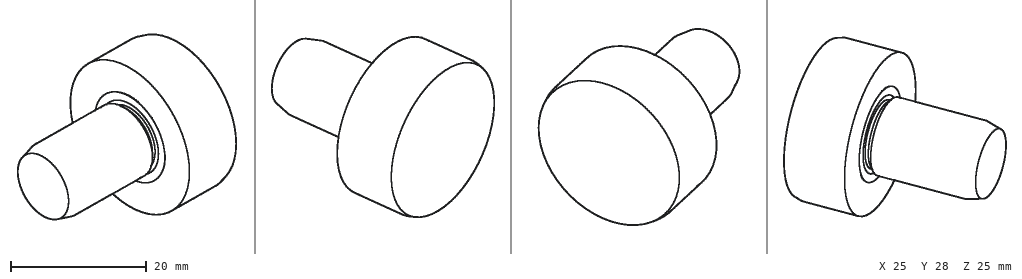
import cadquery as cq

total_length = 28.0
head_radius = 25.0 / 2
head_length = 10.0
head_taper_length = 1.0
head_taper_inset = 0.28

pin_radius = 12.0 / 2
tip_radius = 5.35
tip_length = 2.5

neck_radius = 5.3
neck_length = 0.53
groove_inner_radius = pin_radius
groove_outer_radius = 7.35
groove_depth = 0.5

pin_end = head_length - total_length
shoulder_height = pin_radius - neck_radius
groove_middle = (groove_inner_radius + groove_outer_radius) / 2


def revolve_around_y(profile):
    return profile.close().revolve(360, (0, 0, 0), (0, 1, 0))


body = revolve_around_y(
    cq.Workplane("XY")
    .moveTo(0, pin_end)
    .lineTo(tip_radius, pin_end)
    .lineTo(pin_radius, pin_end + tip_length)
    .lineTo(pin_radius, -neck_length - shoulder_height)
    .lineTo(neck_radius, -neck_length)
    .lineTo(neck_radius, 0)
    .lineTo(head_radius, 0)
    .lineTo(head_radius, head_length - head_taper_length)
    .lineTo(head_radius - head_taper_inset, head_length)
    .lineTo(0, head_length)
)

groove = revolve_around_y(
    cq.Workplane("XY")
    .moveTo(groove_inner_radius, 0)
    .threePointArc((groove_middle, groove_depth), (groove_outer_radius, 0))
)

seated = body.cut(groove)
result = seated.translate((0, -pin_end, 0))